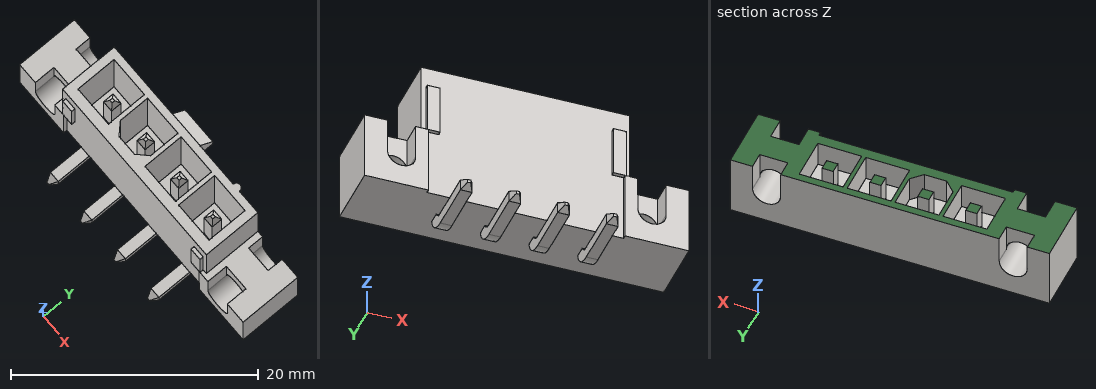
import cadquery as cq
import math


total_width = 28.0
housing_width = 18.0
housing_depth = 5.45
housing_height = 12.8

ear_height = 6.25
ear_depth = 5.8
ear_inner_x = 8.48
ear_hole_x = 10.8
ear_hole_diameter = 2.45
ear_hole_z = ear_height / 2
back_slot_depth = 1.48
front_slot_depth = 1.95

cavity_count = 4
pitch = 4.2
cavity_size = 3.8
cavity_back_wall = 0.7
cavity_depth = 9.52
key_chamfer = 0.92
key_index = 1

pin_size = 1.0
pin_y = -2.5
pin_drop = 1.6
pin_front_y = -9.32
pin_inner_radius = 1.0
pin_tip_length = 0.7
pin_tip_flat = 0.28
pin_recess = 3.35

rib_inner_x = 7.48
rib_width = 1.12
rib_top_z = 10.78

latch_width = 3.47
latch_reach = 1.37
latch_shoulder_drop = 2.35
latch_hook_drop = 3.15
latch_root_drop = 3.1
marker_radius = 0.4

cavity_xs = [(index - (cavity_count - 1) / 2) * pitch for index in range(cavity_count)]


def box(x_min, x_max, y_min, y_max, z_min, z_max):
    """Axis-aligned block between the given limits."""
    size = (x_max - x_min, y_max - y_min, z_max - z_min)
    return cq.Workplane("XY").box(*size, centered=False).translate((x_min, y_min, z_min))


def make_housing():
    """Tall block, with the two mounting ears at its lower ends."""
    half_width = housing_width / 2
    housing = box(-half_width, half_width, -housing_depth, 0, 0, housing_height)
    half_total = total_width / 2
    for x_min, x_max in ((-half_total, -ear_inner_x), (ear_inner_x, half_total)):
        housing = housing.union(box(x_min, x_max, -ear_depth, 0, 0, ear_height))
    return housing


def make_ear_slot(x, y_min, y_max):
    """U-shaped slot, open at the top of the ear and round around the mounting hole."""
    radius = ear_hole_diameter / 2
    slot = box(x - radius, x + radius, y_min, y_max, ear_hole_z, ear_height)
    return slot.union(make_ear_hole(x, y_min, y_max))


def make_ear_hole(x, y_min, y_max):
    """Round cutter along Y."""
    plane = cq.Workplane("XZ", origin=(x, y_max, ear_hole_z))
    return plane.circle(ear_hole_diameter / 2).extrude(y_max - y_min)


def make_cavity(x, keyed):
    """Square cavity; the keyed one has its two front corners cut off."""
    y_max = -cavity_back_wall
    half_size = cavity_size / 2
    z_min = housing_height - cavity_depth
    cavity = box(x - half_size, x + half_size, y_max - cavity_size, y_max, z_min, housing_height)
    if keyed:
        cavity = cavity.faces("<Y").edges("|Z").chamfer(key_chamfer)
    return cavity


def make_pin(x):
    """Square pin that comes down out of the housing and bends forward, pointed at both ends."""
    bottom_z = -pin_drop
    outer_radius = pin_inner_radius + pin_size
    half_size = pin_size / 2
    bend_y = pin_y + half_size - outer_radius
    bend_z = bottom_z + outer_radius
    top_z = housing_height - pin_recess - pin_tip_length
    front_y = pin_front_y + pin_tip_length
    diagonal = math.sqrt(0.5)

    shank = (
        cq.Workplane("YZ", origin=(x - half_size, 0, 0))
        .moveTo(pin_y + half_size, top_z)
        .lineTo(pin_y + half_size, bend_z)
        .threePointArc(
            (bend_y + outer_radius * diagonal, bend_z - outer_radius * diagonal),
            (bend_y, bottom_z),
        )
        .lineTo(front_y, bottom_z)
        .lineTo(front_y, bottom_z + pin_size)
        .lineTo(bend_y, bottom_z + pin_size)
        .threePointArc(
            (bend_y + pin_inner_radius * diagonal, bend_z - pin_inner_radius * diagonal),
            (pin_y - half_size, bend_z),
        )
        .lineTo(pin_y - half_size, top_z)
        .close()
        .extrude(pin_size)
    )
    top_tip = make_pin_tip(cq.Workplane("XY", origin=(x, pin_y, top_z)))
    front_tip = make_pin_tip(cq.Workplane("XZ", origin=(x, front_y, bottom_z + half_size)))
    return shank.union(top_tip).union(front_tip)


def make_pin_tip(plane):
    """Blunt pyramid on the given end of a pin."""
    return (
        plane.rect(pin_size, pin_size)
        .workplane(offset=pin_tip_length)
        .rect(pin_tip_flat, pin_tip_flat)
        .loft(combine=True)
    )


def make_rib(x_min):
    """Thin upright rib on the housing front, above the ear."""
    return box(x_min, x_min + rib_width, -ear_depth, -housing_depth, ear_height, rib_top_z)


def make_latch():
    """Ramped locking hook at the top of the back face."""
    profile = [
        (0, housing_height),
        (latch_reach, housing_height - latch_shoulder_drop),
        (latch_reach, housing_height - latch_hook_drop),
        (0, housing_height - latch_root_drop),
    ]
    plane = cq.Workplane("YZ", origin=(-latch_width / 2, 0, 0))
    return plane.polyline(profile).close().extrude(latch_width)


def make_marker():
    """Half-round bead on the back face behind the last cavity."""
    plane = cq.Workplane("XY", origin=(cavity_xs[-1], 0, housing_height))
    return plane.circle(marker_radius).extrude(-latch_root_drop)


result = make_housing()
for rib_x in (-rib_inner_x - rib_width, rib_inner_x):
    result = result.union(make_rib(rib_x))
result = result.union(make_latch()).union(make_marker())

for hole_x in (-ear_hole_x, ear_hole_x):
    result = result.cut(make_ear_hole(hole_x, -ear_depth, 0))
    result = result.cut(make_ear_slot(hole_x, -back_slot_depth, 0))
    result = result.cut(make_ear_slot(hole_x, -ear_depth, front_slot_depth - ear_depth))

for index, cavity_x in enumerate(cavity_xs):
    result = result.cut(make_cavity(cavity_x, index == key_index))
    result = result.union(make_pin(cavity_x))